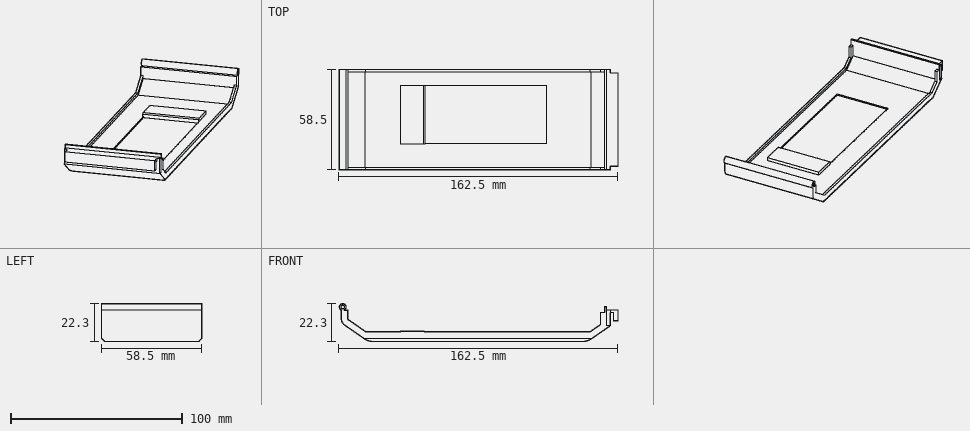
import cadquery as cq
import math

width = 58.5
height = 22.3
slope_angle = math.radians(34.8)
slope_rise = math.tan(slope_angle)

barrel_diameter = 4.0
barrel_bore = 2.0
left_wall_outer = 1.1
left_wall_inner = 5.0
barrel_seat_depth = 0.2
left_wall_top = height - barrel_diameter + barrel_seat_depth

rim_floor = 5.9
base_chamfer = 2.0
left_rim_bend = 15.5
right_rim_bend = 146.3
shell_thickness = 3.9
outer_corner_radius = 4.9
base_bend_radius = 9.8

right_wall_inner = 152.3
right_wall_top = 17.0
right_wall_outer = 158.1
wall_step_depth = 0.2
wall_step_bottom = 9.5
strip_inner = 154.7
strip_outer = 155.9
strip_top = 20.5
latch_top = 18.5
latch_thickness = 1.6
latch_end = 162.5
latch_lip_thickness = 2.8
latch_lip_bottom = 12.2
latch_side_inset = 2.0

recess_depth = 1.5
rim_width = 1.5

pad_start = 35.8
pad_end = 50.0
pad_bevel_length = 1.0
pad_front = -14.3
panel_back = 19.8
pad_top = 6.3
pocket_start = 49.2
pocket_end = 120.8
pocket_front = -13.8
pocket_depth = 0.8

recess_floor = rim_floor - recess_depth
pocket_floor = recess_floor - pocket_depth
slope_offset = shell_thickness / math.sin(slope_angle)
left_base = left_rim_bend - slope_offset + rim_floor / slope_rise
right_base = right_rim_bend + slope_offset - rim_floor / slope_rise
left_corner = (left_base - left_wall_outer) * slope_rise
right_corner = (right_wall_outer - right_base) * slope_rise


def prism(points, y_front, y_back):
    """Extrude a closed XZ outline from y_front to y_back."""
    plane = cq.Workplane("XZ", origin=(0, y_front, 0))
    return plane.polyline(points).close().extrude(y_front - y_back)


def centred_prism(points, depth):
    """Extrude a closed XZ outline symmetrically about Y = 0."""
    return prism(points, -depth / 2, depth / 2)


def block(x_start, x_end, y_front, y_back, z_bottom, z_top):
    """Rectangular block between the given limits."""
    outline = [(x_start, z_bottom), (x_end, z_bottom), (x_end, z_top), (x_start, z_top)]
    return prism(outline, y_front, y_back)


def round_corner(solid, x, z, radius):
    """Fillet the full-width outline edge at (x, z)."""
    corner = cq.selectors.NearestToPointSelector((x, 0, z))
    return solid.edges(corner).fillet(radius)


def rim_slope(distance):
    """Height of the sloped rim at a horizontal distance outside its bend."""
    return rim_floor + distance * slope_rise


def make_shell():
    """Tray body of constant cross-section with rounded outer bends."""
    outline = [
        (left_wall_outer, left_corner),
        (left_base, 0),
        (right_base, 0),
        (right_wall_outer, right_corner),
        (right_wall_outer, latch_top),
        (strip_outer, latch_top),
        (strip_outer, right_wall_top),
        (right_wall_inner, right_wall_top),
        (right_wall_inner, rim_slope(right_wall_inner - right_rim_bend)),
        (right_rim_bend, rim_floor),
        (left_rim_bend, rim_floor),
        (left_wall_inner, rim_slope(left_rim_bend - left_wall_inner)),
        (left_wall_inner, left_wall_top),
        (left_wall_outer, left_wall_top),
    ]
    shell = centred_prism(outline, width)
    shell = round_corner(shell, left_wall_outer, left_corner, outer_corner_radius)
    shell = round_corner(shell, left_base, 0, base_bend_radius)
    return round_corner(shell, right_base, 0, base_bend_radius)


def make_base_chamfer(side):
    """Wedge that bevels one long bottom edge; side is -1 or 1."""
    y_edge = side * width / 2
    corners = [
        (y_edge, 0),
        (y_edge - side * base_chamfer, 0),
        (y_edge, base_chamfer),
    ]
    return cq.Workplane("YZ").polyline(corners).close().extrude(latch_end)


def make_step(side):
    """Thin cut beside the outer part of the right wall; side is -1 or 1."""
    y_edge = side * width / 2
    y_step = y_edge - side * wall_step_depth
    return block(
        strip_outer,
        right_wall_outer,
        min(y_edge, y_step),
        max(y_edge, y_step),
        wall_step_bottom,
        latch_top,
    )


def make_recess():
    """Space sunk below the rim, following both sloped ends."""
    bend_shift = recess_depth * math.tan(slope_angle / 2)
    left_bend = left_rim_bend - bend_shift
    right_bend = right_rim_bend + bend_shift
    outline = [
        (left_bend, recess_floor),
        (right_bend, recess_floor),
        (strip_inner, recess_floor + (strip_inner - right_bend) * slope_rise),
        (strip_inner, height),
        (left_wall_inner, height),
        (left_wall_inner, recess_floor + (left_bend - left_wall_inner) * slope_rise),
    ]
    return centred_prism(outline, width - 2 * rim_width)


def make_latch():
    """Hook that reaches out from the right wall and turns down."""
    lip_inner = latch_end - latch_lip_thickness
    arm_bottom = latch_top - latch_thickness
    outline = [
        (strip_outer, latch_top),
        (latch_end, latch_top),
        (latch_end, latch_lip_bottom),
        (lip_inner, latch_lip_bottom),
        (lip_inner, arm_bottom),
        (strip_outer, arm_bottom),
    ]
    return centred_prism(outline, width - 2 * latch_side_inset)


def make_barrel_cylinder(diameter):
    """Full-width cylinder on the hinge axis."""
    axis_x = barrel_diameter / 2
    axis_z = height - barrel_diameter / 2
    plane = cq.Workplane("XZ").center(axis_x, axis_z)
    return plane.circle(diameter / 2).extrude(width / 2, both=True)


def make_pad():
    """Raised pad whose pocket-side edge slopes down."""
    outline = [
        (pad_start, pocket_floor),
        (pad_end, pocket_floor),
        (pad_end, pad_top - pad_bevel_length * slope_rise),
        (pad_end - pad_bevel_length, pad_top),
        (pad_start, pad_top),
    ]
    return prism(outline, pad_front, panel_back)


tray = make_shell().cut(make_recess())
for side in (-1, 1):
    tray = tray.cut(make_base_chamfer(side)).cut(make_step(side))

strip = block(strip_inner, strip_outer, -width / 2, width / 2, right_corner, strip_top)
pocket = block(pocket_start, pocket_end, pocket_front, panel_back, pocket_floor, recess_floor)

tray = tray.union(strip).union(make_latch())
tray = tray.union(make_barrel_cylinder(barrel_diameter)).cut(make_barrel_cylinder(barrel_bore))
result = tray.cut(pocket).union(make_pad())